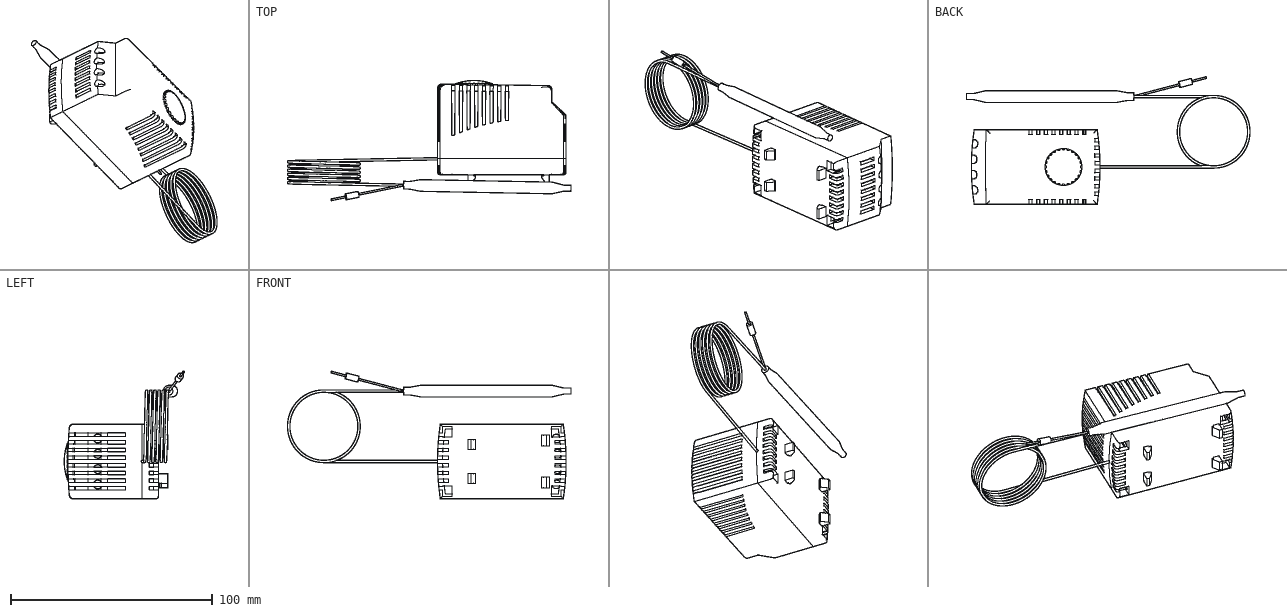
import cadquery as cq
import math


half_width = 32.0
half_height = 18.6
side_bow = 1.4
front_bow = 0.8
slope_bow = 0.3
front_left_y = 45.2
front_right_y = 44.5
step_x = 25.0
step_y = 36.3
slope_end_y = 29.6
wall = 2.5
seam_y = 8.2
back_fillet = 1.4
front_fillet = 2.1

slot_count = 8
slot_width = 1.7
slot_pitch = 3.8
side_slot_end_y = 16.5
right_slot_top_y = 25.3
slot_depth = wall + side_bow
base_slot_depth = 4.5
base_slot_length = 5.6
face_slot_first_x = -24.1
face_slot_tip_width = 1.3
slot_end_left_y = 19.6
slot_end_middle_y = 24.4
slot_end_right_y = 27.1
slot_overrun = 1.4

entry_hole_count = 4
entry_hole_diameter = 4.2
entry_hole_pitch = 7.6
entry_hole_y = 30.2

pocket_width = 4.8
pocket_rim = 1.1
pocket_height = 5.4

hook_length = 4.7
hook_stem = 3.0
hook_barb = 1.0
hook_tip = 1.5
barb_root_y = -0.4
barb_top_y = -0.7
barb_bottom_y = -1.4
left_hook_x = -17.0
left_hook_z = 8.5
left_hook_height = 4.8
right_hook_x = 23.7
right_hook_z = 10.5
right_hook_height = 5.4

knob_x = -13.8
knob_radius = 9.2
knob_base_y = 43.5
knob_rim_y = 45.3
knob_top_y = 47.0
knob_dome_height = knob_top_y - knob_rim_y
knob_dome_radius = (knob_radius**2 + knob_dome_height**2) / (2 * knob_dome_height)
flute_count = 24
flute_radius = 0.7

capillary_radius = 0.63
coil_radius = 17.5
coil_x = -88.5
coil_start_y = 6.9
coil_pitch = 2.06
coil_turns = 5.5
lead_slope = coil_pitch / (2 * math.pi * coil_radius)
coil_end_y = coil_start_y - coil_pitch * coil_turns
bulb_z = 2 * coil_radius
bulb_start_x = -48.8
housing_end_x = -half_width + wall
wall_entry = cq.Vector(housing_end_x, coil_start_y + (housing_end_x - coil_x) * lead_slope, 0)
coil_start = cq.Vector(coil_x, coil_start_y, 0)
coil_end = cq.Vector(coil_x, coil_end_y, bulb_z)
bulb_entry = cq.Vector(bulb_start_x, coil_end_y - (bulb_start_x - coil_x) * lead_slope, bulb_z)

bulb_radius = 3.0
neck_radius = 2.0
tip_radius = 1.5
neck_length = 3.1
rear_cone_length = 5.4
barrel_length = 65.3
front_cone_length = 5.9
tip_length = 3.5

fill_radius = 0.5
branch_distance = 0.4
fill_tip = cq.Vector(-84.8, -12.4, 44.5)
sleeve_radius = 1.5
sleeve_length = 6.5
sleeve_from_tip = 7.6


def box(x_min, x_max, y_min, y_max, z_min, z_max):
    size = (x_max - x_min, y_max - y_min, z_max - z_min)
    return cq.Workplane("XY").box(*size, centered=False).translate((x_min, y_min, z_min))


def centered_places(count, pitch):
    return [(i - (count - 1) / 2) * pitch for i in range(count)]


def housing_outline(z, bulge, offset):
    """Closed outline of the housing at height z; bulge is 1 at full bow and 0 at no bow."""
    side_x = half_width - side_bow * (1 - bulge)
    front_inset = front_bow * (1 - bulge)
    slope_inset = slope_bow * (1 - bulge)
    corners = [
        (-side_x, 0),
        (side_x, 0),
        (side_x, slope_end_y),
        (step_x - slope_inset, step_y - slope_inset),
        (step_x - slope_inset, front_right_y - front_inset),
        (-side_x, front_left_y - front_inset),
    ]
    outline = cq.Wire.makePolygon([cq.Vector(x, y, z) for x, y in corners], close=True)
    if offset:
        outline = outline.offset2D(-offset, "intersection")[0]
    return outline


def bowed_block(offset=0):
    """Housing block with bulging walls, shrunk on every side by offset."""
    top_z = half_height - offset
    outlines = [
        housing_outline(-top_z, 0, offset),
        housing_outline(0, 1, offset),
        housing_outline(top_z, 0, offset),
    ]
    return cq.Workplane(obj=cq.Solid.makeLoft(outlines))


def rounded_shell():
    block = bowed_block()
    block = block.faces("<Y").edges().fillet(back_fillet)
    block = block.faces(">Y").edges().fillet(front_fillet)
    return block.cut(bowed_block(wall))


def face_slots():
    """Tapered slots through the top and bottom faces, their ends lying on an arc."""
    last_x = face_slot_first_x + (slot_count - 1) * slot_pitch
    middle_x = (face_slot_first_x + last_x) / 2
    slot_top_y = front_left_y + slot_overrun
    slots = cq.Workplane("XY")
    for i in range(slot_count):
        x = face_slot_first_x + i * slot_pitch
        slots = slots.add(
            cq.Workplane("XY")
            .polyline([
                (x - slot_width / 2, slot_top_y),
                (x + slot_width / 2, slot_top_y),
                (x + face_slot_tip_width / 2, slot_end_left_y - slot_overrun),
                (x - face_slot_tip_width / 2, slot_end_left_y - slot_overrun),
            ])
            .close()
            .extrude(half_height, both=True)
        )
    slots = slots.combine()
    slotted_area = (
        cq.Workplane("XY")
        .moveTo(face_slot_first_x - slot_width, slot_top_y)
        .lineTo(face_slot_first_x - slot_width, slot_end_left_y)
        .lineTo(face_slot_first_x, slot_end_left_y)
        .threePointArc((middle_x, slot_end_middle_y), (last_x, slot_end_right_y))
        .lineTo(last_x + slot_width, slot_end_right_y)
        .lineTo(last_x + slot_width, slot_top_y)
        .close()
        .extrude(half_height, both=True)
    )
    core_z = half_height - wall
    core = box(-half_width, half_width, 0, slot_top_y, -core_z, core_z)
    return slots.intersect(slotted_area).cut(core)


def make_cover(shell):
    cover = shell.intersect(
        box(-half_width, half_width, seam_y, front_left_y, -half_height, half_height)
    )
    cover = cover.cut(face_slots())

    front_wall_y = front_left_y - wall - front_bow
    for z in centered_places(slot_count, slot_pitch):
        low = z - slot_width / 2
        high = z + slot_width / 2
        cover = cover.cut(
            box(-half_width, -half_width + slot_depth, side_slot_end_y, front_wall_y, low, high)
        )
        cover = cover.cut(
            box(-half_width, -half_width + wall, front_wall_y, front_left_y, low, high)
        )
        cover = cover.cut(
            box(half_width - slot_depth, half_width, side_slot_end_y, right_slot_top_y, low, high)
        )

    for z in centered_places(entry_hole_count, entry_hole_pitch):
        hole = (
            cq.Workplane("YZ", origin=(step_x - wall, entry_hole_y, z))
            .circle(entry_hole_diameter / 2)
            .extrude(half_width)
        )
        cover = cover.cut(hole)

    knob_recess = (
        cq.Workplane("XZ", origin=(knob_x, knob_base_y, 0))
        .circle(knob_radius)
        .extrude(-(knob_top_y - knob_base_y))
    )
    return cover.cut(knob_recess)


def make_hook(outer_x, z, height, barb_side):
    """Snap hook whose straight side is at outer_x and whose barb points to barb_side (+1 or -1)."""
    barb_reach = hook_stem + hook_barb
    profile = [
        (0, wall),
        (0, -hook_length),
        (hook_tip, -hook_length),
        (barb_reach, barb_bottom_y),
        (barb_reach, barb_top_y),
        (hook_stem, barb_root_y),
        (hook_stem, wall),
    ]
    return (
        cq.Workplane("XY", origin=(outer_x, 0, z))
        .polyline([(barb_side * x, y) for x, y in profile])
        .close()
        .extrude(height / 2, both=True)
    )


def make_base(shell):
    base = shell.intersect(
        box(-half_width, half_width, 0, seam_y, -half_height, half_height)
    )
    slot_x = half_width - base_slot_length / 2
    pocket_x = half_width - side_bow - pocket_rim - pocket_width / 2
    pocket_z = half_height - pocket_rim - pocket_height / 2
    for side in (-1, 1):
        for z in centered_places(slot_count, slot_pitch):
            slot = cq.Workplane("XY").box(base_slot_length, base_slot_depth, slot_width)
            base = base.cut(slot.translate((side * slot_x, base_slot_depth / 2, z)))
        for end in (-1, 1):
            pocket = cq.Workplane("XY").box(pocket_width, base_slot_depth, pocket_height)
            base = base.cut(pocket.translate((side * pocket_x, base_slot_depth / 2, end * pocket_z)))

    for end in (-1, 1):
        base = base.union(make_hook(left_hook_x, end * left_hook_z, left_hook_height, 1))
        base = base.union(make_hook(right_hook_x, end * right_hook_z, right_hook_height, -1))
    return base


def make_knob():
    """Domed dial with a fluted rim."""
    knob = (
        cq.Workplane("XY", origin=(knob_x, 0, 0))
        .moveTo(0, knob_base_y)
        .lineTo(knob_radius, knob_base_y)
        .lineTo(knob_radius, knob_rim_y)
        .radiusArc((0, knob_top_y), -knob_dome_radius)
        .close()
        .revolve(360, (0, 0), (0, 1))
    )
    flutes = (
        cq.Workplane("XZ", origin=(knob_x, knob_base_y, 0))
        .polarArray(knob_radius, 0, 360, flute_count)
        .circle(flute_radius)
        .extrude(-(knob_top_y - knob_base_y))
    )
    return knob.cut(flutes)


def make_rod(start, end, radius):
    return cq.Workplane(obj=cq.Solid.makeCylinder(radius, (end - start).Length, start, end - start))


def make_coil():
    """Left-handed coil around the Y axis, from its lowest point towards -Y."""
    path = cq.Wire.makeHelix(coil_pitch, coil_pitch * coil_turns, coil_radius, lefthand=True)
    coil_plane = cq.Plane(
        origin=(coil_x, coil_start_y, coil_radius), xDir=(0, 0, -1), normal=(0, -1, 0)
    )
    path = path.moved(cq.Location(coil_plane))
    tube_plane = cq.Plane(origin=coil_start.toTuple(), xDir=(0, 0, 1), normal=(-1, -lead_slope, 0))
    return cq.Workplane(tube_plane).circle(capillary_radius).sweep(path, isFrenet=True)


def make_bulb():
    """Turned sensor bulb, in line with the lead that enters it."""
    barrel_start = neck_length + rear_cone_length
    barrel_end = barrel_start + barrel_length
    tip_start = barrel_end + front_cone_length
    tip_end = tip_start + tip_length
    bulb_plane = cq.Plane(
        origin=bulb_entry.toTuple(), xDir=(1, -lead_slope, 0), normal=(0, 0, 1)
    )
    return (
        cq.Workplane(bulb_plane)
        .polyline([
            (0, 0),
            (0, neck_radius),
            (neck_length, neck_radius),
            (barrel_start, bulb_radius),
            (barrel_end, bulb_radius),
            (tip_start, tip_radius),
            (tip_end, tip_radius),
            (tip_end, 0),
        ])
        .close()
        .revolve(360, (0, 0), (1, 0))
    )


def make_fill_tube():
    """Thin tube with a crimp sleeve, branching off the lead next to the bulb."""
    direction = (bulb_entry - fill_tip).normalized()
    branch = bulb_entry - direction * branch_distance
    sleeve_start = fill_tip + direction * sleeve_from_tip
    sleeve_end = sleeve_start + direction * sleeve_length
    tube = make_rod(fill_tip, branch, fill_radius)
    return tube.union(make_rod(sleeve_start, sleeve_end, sleeve_radius))


housing_lead = make_rod(wall_entry, coil_start, capillary_radius)
bulb_lead = make_rod(coil_end, bulb_entry, capillary_radius)
capillary = housing_lead.union(make_coil()).union(bulb_lead)

shell = rounded_shell()
cover = make_cover(shell).cut(housing_lead)
base = make_base(shell).cut(housing_lead)
knob = make_knob()
bulb = make_bulb()
fill_tube = make_fill_tube().cut(bulb_lead)

result = cq.Compound.makeCompound([
    cover.solids().val(),
    base.solids().val(),
    knob.solids().val(),
    capillary.solids().val(),
    bulb.solids().val(),
    fill_tube.solids().val(),
])